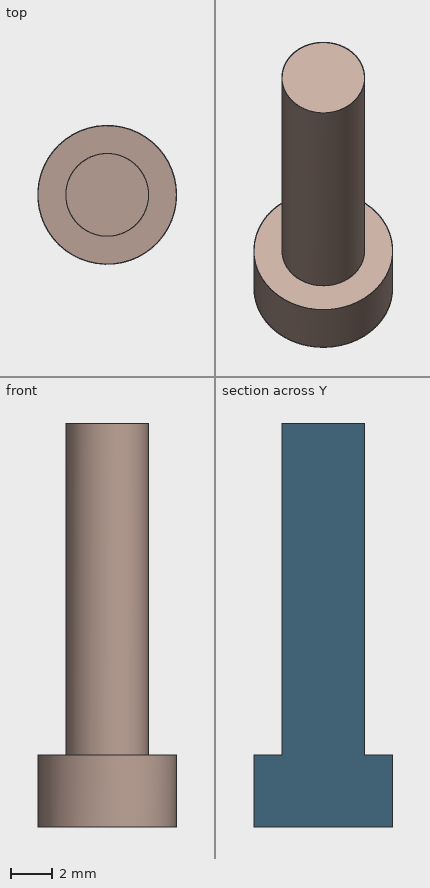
import cadquery as cq

total_length = 19.5
head_diameter = 6.7
head_height = 3.5
shank_diameter = 4.0
shank_length = total_length - head_height

head = (
    cq.Workplane("XY")
    .workplane(offset=-total_length / 2)
    .circle(head_diameter / 2)
    .extrude(head_height)
)

result = (
    head.faces(">Z")
    .workplane()
    .circle(shank_diameter / 2)
    .extrude(shank_length)
)